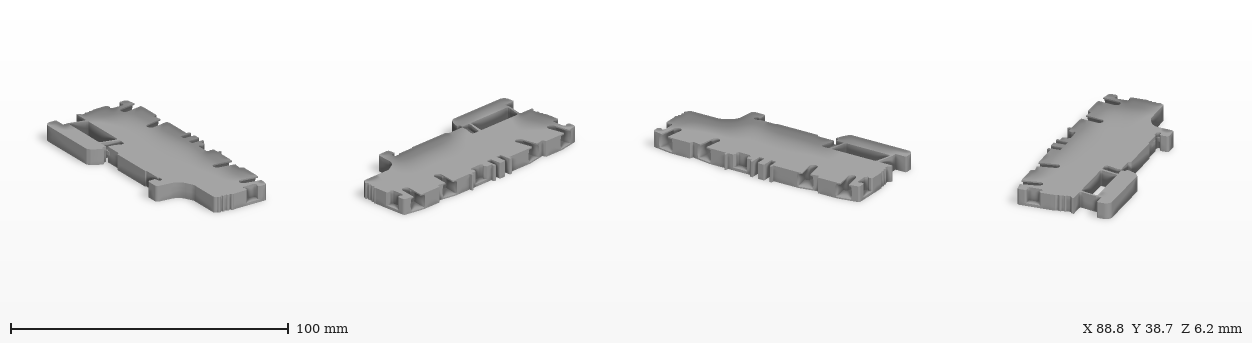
import cadquery as cq
import math

THICKNESS = 6.2
BODY_LENGTH = 88.6
BODY_BOTTOM = 14.0
SHOULDER_Y = 37.4
POST_TOP = 38.7
CORNER_MID = (0.2, 35.6)
END_CORNER_Y = 35.15
END_TOP = 35.9
RAIL_SEAT_Y = 7.5
RAIL_STEP_Y = 6.9
RAIL_PAD_Y = 6.5
FOOT_TOP = 7.0

ENTRY_TILT = math.radians(10)
ENTRY_PITCH = 16.5
ENTRY_X = 5.7
ENTRY_MOUTH_Y = END_TOP + ENTRY_X * math.tan(ENTRY_TILT)
ENTRY_SLOT_WIDTH = 3.2
ENTRY_SLOT_LENGTH = 6.6
ENTRY_FLOOR_Z = 0.5
DUCT_HEIGHT = THICKNESS - 2 * ENTRY_FLOOR_Z
DUCT_HALF_WIDTH = 3.3
DUCT_WALL_BOW = 0.35
DUCT_OFFSET = 0.4
MOUTH_OVERSHOOT = 0.9

POCKET_FLOOR_Z = 1.1
END_POCKET_Y = 30.0
TOP_POCKET_X = 50.2
END_POCKET_MOUTH = {"mouth_half": 3.1, "neck_start": 0.4}
TOP_POCKET_MOUTH = {"mouth_half": 3.0, "neck_start": 1.1}

WEB_BOTTOM = 3.1
WEB_TOP = 4.6
LATCH_DROP = 0.3


def mirror_x(points):
    """Mirror points about the middle of the housing and reverse their order."""
    return [(BODY_LENGTH - x, y) for x, y in reversed(points)]


def slab(points, bottom=0.0, top=THICKNESS):
    return cq.Workplane("XY").workplane(offset=bottom).polyline(points).close().extrude(top - bottom)


def add_teeth(outline, teeth):
    """Continue an outline over a run of rounded grip teeth."""
    for start, crest, end in teeth:
        outline = outline.lineTo(*start).threePointArc(crest, end)
    return outline


def housing():
    """Main plate: stepped top, toothed ends, rail seat and fixed hook."""
    left_shoulder = [
        (0.5, 35.95), (8.5, SHOULDER_Y), (16.8, SHOULDER_Y), (17.3, 35.95), (25.1, SHOULDER_Y),
    ]
    centre_posts = [
        (35.9, SHOULDER_Y), (35.9, POST_TOP), (36.6, POST_TOP), (36.8, 38.4), (36.8, 34.0),
        (39.05, 34.0), (39.05, 38.4), (39.3, POST_TOP), (41.6, POST_TOP), (41.9, 38.4),
        (41.9, 34.0), (44.1, 34.0), (44.1, POST_TOP), (44.9, POST_TOP), (45.2, 38.4),
        (45.2, 38.0), (44.9, 37.8), (44.9, SHOULDER_Y), (55.4, SHOULDER_Y), (55.4, 38.4),
        (55.65, POST_TOP), (56.0, POST_TOP), (56.3, 38.4), (56.3, SHOULDER_Y),
    ]
    right_teeth = [
        ((BODY_LENGTH, 21.6), (88.8, 21.1), (88.0, 20.6)),
        ((88.0, 20.1), (88.3, 19.5), (87.7, 18.9)),
        ((87.7, 18.1), (88.05, 17.7), (87.4, 17.2)),
        ((87.4, 16.5), (88.05, 15.9), (87.4, 15.3)),
    ]
    left_teeth = [
        ((1.15, 17.2), (0.5, 17.7), (0.8, 18.1)),
        ((0.8, 18.9), (0.3, 19.5), (0.5, 20.1)),
        ((0.5, 20.7), (0.1, 21.1), (0.04, 21.6)),
    ]
    outline = cq.Workplane("XY").polyline(left_shoulder + centre_posts + mirror_x(left_shoulder))
    outline = outline.threePointArc((BODY_LENGTH - CORNER_MID[0], CORNER_MID[1]), (BODY_LENGTH, END_CORNER_Y))
    outline = add_teeth(outline, right_teeth)
    outline = (
        outline
        .threePointArc((87.2, 14.5), (86.45, BODY_BOTTOM))
        .lineTo(75.45, BODY_BOTTOM)
        .threePointArc((74.2, 13.9), (73.1, 13.5))
        .lineTo(70.9, 12.3)
        .threePointArc((69.2, 10.8), (68.35, 8.7))
        .lineTo(67.7, 3.5)
        .threePointArc((67.4, 2.6), (66.6, 2.2))
        .lineTo(63.0, 2.2)
        .threePointArc((62.3, 2.5), (62.0, 3.2))
        .lineTo(62.0, 5.2)
        .lineTo(62.7, 5.8)
        .lineTo(63.3, 5.7)
        .threePointArc((64.2, 6.6), (63.3, RAIL_SEAT_Y))
        .lineTo(61.7, RAIL_SEAT_Y)
        .lineTo(61.4, RAIL_STEP_Y)
        .lineTo(54.6, RAIL_STEP_Y)
        .lineTo(54.1, RAIL_PAD_Y)
        .lineTo(36.8, RAIL_PAD_Y)
        .lineTo(36.1, RAIL_SEAT_Y)
        .lineTo(29.4, RAIL_SEAT_Y)
        .lineTo(29.4, 9.2)
        .lineTo(30.5, 12.7)
        .threePointArc((30.45, 13.7), (29.65, BODY_BOTTOM))
        .lineTo(0, BODY_BOTTOM)
        .lineTo(0, 14.8)
        .lineTo(1.15, 15.6)
    )
    outline = add_teeth(outline, left_teeth)
    outline = outline.lineTo(0, 22.9).lineTo(0, END_CORNER_Y).threePointArc(CORNER_MID, left_shoulder[0])
    return outline.close().extrude(THICKNESS)


def clamping_foot():
    """Rounded foot bar that hangs below the left end."""
    return (
        cq.Workplane("XY")
        .moveTo(0, 2.5)
        .threePointArc((0.7, 0.7), (2.6, 0))
        .lineTo(26.45, 0)
        .lineTo(27.8, 0.9)
        .threePointArc((28.85, 2.6), (29.8, 5.0))
        .lineTo(29.8, 5.3)
        .lineTo(28.8, 5.6)
        .lineTo(28.8, FOOT_TOP)
        .lineTo(4.5, FOOT_TOP)
        .lineTo(4.5, 5.1)
        .lineTo(0.35, 5.1)
        .lineTo(0, 4.7)
        .close()
        .extrude(THICKNESS)
    )


def spring_struts():
    """Two slanted struts that carry the foot under the housing."""
    outer = slab([
        (5.7, BODY_BOTTOM), (6.0, 13.5), (4.7, 7.9), (4.5, 7.1), (4.5, FOOT_TOP), (6.0, FOOT_TOP),
        (5.6, 7.5), (5.6, 8.3), (7.0, 13.5), (7.5, BODY_BOTTOM),
    ])
    inner = (
        cq.Workplane("XY")
        .moveTo(25.65, BODY_BOTTOM)
        .threePointArc((26.0, 13.85), (26.1, 13.4))
        .lineTo(24.7, 7.4)
        .lineTo(24.2, FOOT_TOP)
        .lineTo(25.6, FOOT_TOP)
        .lineTo(25.6, 7.9)
        .lineTo(27.3, 13.7)
        .lineTo(27.7, BODY_BOTTOM)
        .close()
        .extrude(THICKNESS)
    )
    return outer.union(inner)


def spring_web():
    """Web across the spring gap, clear of the inner strut by a narrow slit."""
    return slab([
        (27.8, BODY_BOTTOM), (26.2, FOOT_TOP), (28.8, FOOT_TOP), (30.4, 7.2), (30.4, RAIL_SEAT_Y),
        (29.4, RAIL_SEAT_Y), (29.4, 10.0), (30.0, 12.25), (30.4, BODY_BOTTOM),
    ], WEB_BOTTOM, WEB_TOP)


def hook_web():
    """Web that closes the inner half of the hook relief."""
    return slab([(63.0, 5.5), (64.35, 5.5), (64.35, 7.6), (63.0, 7.6)], WEB_BOTTOM, WEB_TOP)


def latch_rib():
    """Shallow ramp under the rail seat, next to the hook."""
    return slab([
        (57.2, RAIL_STEP_Y), (60.7, RAIL_STEP_Y - LATCH_DROP), (61.4, RAIL_STEP_Y),
        (61.7, RAIL_SEAT_Y), (57.2, RAIL_SEAT_Y),
    ], WEB_BOTTOM, WEB_TOP)


def wire_entry(mouth_x, side):
    """Tilted wire duct with bowed walls, opened to the top face by a narrower round-ended slot.

    side is +1 where the entry leans inwards from the left, -1 from the right.
    """
    shift = -side * DUCT_OFFSET
    axis = cq.Vector(side * math.sin(ENTRY_TILT), -math.cos(ENTRY_TILT), 0)
    start = cq.Vector(mouth_x, ENTRY_MOUTH_Y, ENTRY_FLOOR_Z) - axis * MOUTH_OVERSHOOT
    length = ENTRY_SLOT_LENGTH + MOUTH_OVERSHOOT
    edge = DUCT_HALF_WIDTH - DUCT_WALL_BOW
    duct = (
        cq.Workplane(cq.Plane(start, xDir=axis.cross(cq.Vector(0, 0, 1)), normal=-axis))
        .moveTo(shift - edge, 0)
        .lineTo(shift + edge, 0)
        .threePointArc((shift + DUCT_HALF_WIDTH, DUCT_HEIGHT / 2), (shift + edge, DUCT_HEIGHT))
        .lineTo(shift - edge, DUCT_HEIGHT)
        .threePointArc((shift - DUCT_HALF_WIDTH, DUCT_HEIGHT / 2), (shift - edge, 0))
        .close()
        .extrude(-length)
    )
    slot = (
        cq.Workplane(cq.Plane(start, xDir=axis, normal=(0, 0, 1)))
        .center(length / 2, 0)
        .slot2D(length + ENTRY_SLOT_WIDTH, ENTRY_SLOT_WIDTH)
        .extrude(THICKNESS)
    )
    return duct.union(slot)


def marker_pocket(angle, position, mouth_half, neck_start):
    """Dovetail pocket, open to the top face; drawn opening towards -X, then turned and placed."""
    half = [
        (-0.9, mouth_half), (0, mouth_half), (neck_start, 2.5), (1.6, 2.5), (2.1, 3.1), (2.9, 2.3),
    ]
    outline = half + [(x, -y) for x, y in reversed(half)]
    pocket = slab(outline, POCKET_FLOOR_Z)
    return pocket.rotate((0, 0, 0), (0, 0, 1), angle).translate((*position, 0))


result = housing().union(clamping_foot()).union(spring_struts())
result = result.union(spring_web()).union(hook_web()).union(latch_rib())

for row in range(2):
    entry_x = ENTRY_X + row * ENTRY_PITCH
    result = result.cut(wire_entry(entry_x, 1))
    result = result.cut(wire_entry(BODY_LENGTH - entry_x, -1))

result = result.cut(marker_pocket(0, (0, END_POCKET_Y), **END_POCKET_MOUTH))
result = result.cut(marker_pocket(180, (BODY_LENGTH, END_POCKET_Y), **END_POCKET_MOUTH))
result = result.cut(marker_pocket(-90, (TOP_POCKET_X, SHOULDER_Y), **TOP_POCKET_MOUTH))